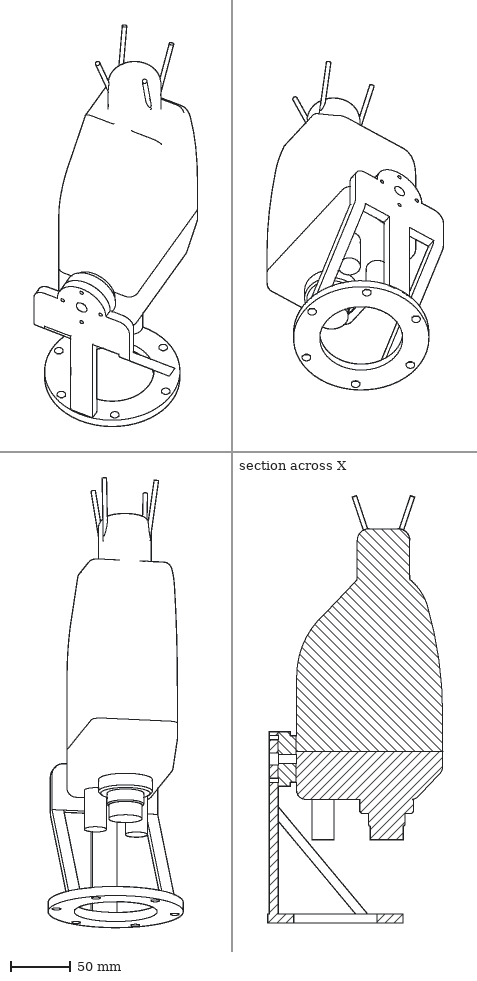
import cadquery as cq
import math


TOTAL_DEPTH = 147.5
TOTAL_HEIGHT = 360.0

BASE_DIAMETER = 114.0
BASE_RADIUS = BASE_DIAMETER / 2
BASE_BORE_RADIUS = 35.0
BASE_BOLT_CIRCLE_RADIUS = 50.8
BASE_BOLT_RADIUS = 3.5
BASE_BOLT_COUNT = 6

SHEET = 8.0
PLATE_BACK_Y = -48.0
PLATE_WIDTH = 90.7
PLATE_BOTTOM_Z = 98.0
PLATE_CORNER_RADIUS = 10.0
STEM_WIDTH = 21.0
LEG_WIDTH = 10.0
LEG_ANGLE = 50.2
PLATE_FRONT_Y = PLATE_BACK_Y - SHEET

PIVOT_Z = 138.3
PIVOT_RADIUS = 23.0
PIVOT_BORE_RADIUS = 5.0
SCREW_CIRCLE_RADIUS = 18.0
SCREW_RADIUS = 1.62
SCREW_COUNT = 4
HUB_DISC_LENGTH = 10.0
HUB_NECK_RADIUS = 19.8
HUB_BORE_RADIUS = 3.5

HOUSING_WIDTH = 74.0
HOUSING_FILLET = 8.0
FRONT_Y = -32.8
BACK_Y = TOTAL_DEPTH - BASE_RADIUS
BOTTOM_Z = 104.0
SEAM_Z = 144.8
TOP_Z = 289.5
FRONT_ARC_START_Z = 208.0
FRONT_ARC_END = (-8.5, 261.0)
BACK_ARC_START_Z = 176.0
BACK_ARC_END = (77.8, 267.2)
TOP_FRONT_Y = 18.5
TOP_BACK_Y = 62.5
BOTTOM_BEVEL_Y = 23.0
BOTTOM_BEVEL_Z = 24.5

HEAD_RADIUS = 22.5
HEAD_TOP_Z = 332.5
HEAD_TOP_FILLET = 10.0
HEAD_FOOT_FILLET = 2.0
HEAD_ROOT_DEPTH = 7.2
HEAD_Y = (TOP_FRONT_Y + TOP_BACK_Y) / 2

ANTENNA_RADIUS = 1.98
ANTENNA_FOOT_OFFSET = (18.0, 7.5)
ANTENNA_TIP_OFFSET = (22.5, 24.5)
ANTENNA_RISE = 50.5

CONNECTOR_Y = 43.2
CONNECTOR_END_Z = 70.2
COLLAR_RADIUS = 22.7
COLLAR_END_Z = 92.2
COLLAR_CHAMFER = 1.8
SLEEVE_RADIUS = 15.5
SLEEVE_END_Z = 81.7
SLEEVE_CHAMFER = 1.0
SPIGOT_RADIUS = 14.0
PORT_RADIUS = 9.5
PORT_CENTERS = [(-19.8, -10.5), (17.5, 1.5)]


def post(x, y, radius, z_low, z_high):
    """Upright cylinder between two heights."""
    return cq.Workplane("XY", origin=(x, y, z_low)).circle(radius).extrude(z_high - z_low)


def pivot_cylinder(radius, y_front, y_back):
    """Cylinder on the pivot axis, which runs along Y."""
    return cq.Workplane("XZ", origin=(0, y_back, PIVOT_Z)).circle(radius).extrude(y_back - y_front)


def extrude_across(profile, width, x_center=0):
    """Extrude a YZ outline along X, centred on x_center."""
    return profile.extrude(width / 2, both=True).translate((x_center, 0, 0))


def make_base_ring():
    ring = cq.Workplane("XY").circle(BASE_RADIUS).circle(BASE_BORE_RADIUS).extrude(SHEET)
    bolts = (
        cq.Workplane("XY")
        .polarArray(BASE_BOLT_CIRCLE_RADIUS, 0, 360, BASE_BOLT_COUNT)
        .circle(BASE_BOLT_RADIUS)
        .extrude(SHEET)
    )
    return ring.cut(bolts)


def make_plate():
    plate_height = PIVOT_Z - PLATE_BOTTOM_Z
    plate = (
        cq.Workplane("XY", origin=(0, PLATE_BACK_Y - SHEET / 2, PLATE_BOTTOM_Z))
        .box(PLATE_WIDTH, SHEET, plate_height, centered=(True, True, False))
        .edges("|Y and >Z")
        .fillet(PLATE_CORNER_RADIUS)
    )
    stem_height = PLATE_BOTTOM_Z - SHEET
    stem = cq.Workplane("XY", origin=(0, PLATE_BACK_Y - SHEET / 2, SHEET)).box(
        STEM_WIDTH, SHEET, stem_height, centered=(True, True, False)
    )
    ear = pivot_cylinder(PIVOT_RADIUS, PLATE_FRONT_Y, PLATE_BACK_Y)
    bore = pivot_cylinder(PIVOT_BORE_RADIUS, PLATE_FRONT_Y, PLATE_BACK_Y)
    screws = (
        cq.Workplane("XZ", origin=(0, PLATE_BACK_Y, PIVOT_Z))
        .polarArray(SCREW_CIRCLE_RADIUS, 0, 360, SCREW_COUNT)
        .circle(SCREW_RADIUS)
        .extrude(SHEET)
    )
    return plate.union(stem).union(ear).cut(bore).cut(screws)


def make_leg(x_center):
    """Strip bent back from the plate's lower edge and running down to the base ring."""
    slope = math.radians(LEG_ANGLE)
    drop = PLATE_BOTTOM_Z - SHEET
    foot_back_y = PLATE_BACK_Y + drop / math.tan(slope)
    foot_front_y = foot_back_y - SHEET / math.sin(slope)

    def bend_point(angle):
        return (PLATE_BACK_Y - SHEET * math.cos(angle), PLATE_BOTTOM_Z - SHEET * math.sin(angle))

    bend_angle = math.pi / 2 - slope
    profile = (
        cq.Workplane("YZ")
        .moveTo(PLATE_BACK_Y, PLATE_BOTTOM_Z)
        .lineTo(PLATE_FRONT_Y, PLATE_BOTTOM_Z)
        .threePointArc(bend_point(bend_angle / 2), bend_point(bend_angle))
        .lineTo(foot_front_y, SHEET)
        .lineTo(foot_back_y, SHEET)
        .close()
    )
    return extrude_across(profile, LEG_WIDTH, x_center)


def make_bracket():
    bracket = make_base_ring().union(make_plate())
    for side in (-1, 1):
        bracket = bracket.union(make_leg(side * (PLATE_WIDTH - LEG_WIDTH) / 2))
    return bracket


def make_hub():
    disc_back_y = PLATE_BACK_Y + HUB_DISC_LENGTH
    disc = pivot_cylinder(PIVOT_RADIUS, PLATE_BACK_Y, disc_back_y)
    neck = pivot_cylinder(HUB_NECK_RADIUS, disc_back_y, FRONT_Y)
    bore = pivot_cylinder(HUB_BORE_RADIUS, PLATE_BACK_Y, FRONT_Y)
    return disc.union(neck).cut(bore)


def make_antenna(x_side, y_side):
    """Leaning rod whose foot is buried in the head and whose rim reaches the total height."""
    foot_x, foot_y = ANTENNA_FOOT_OFFSET
    tip_x, tip_y = ANTENNA_TIP_OFFSET
    lean = math.atan2(math.hypot(tip_x - foot_x, tip_y - foot_y), ANTENNA_RISE)
    tip_z = TOTAL_HEIGHT - ANTENNA_RADIUS * math.sin(lean)
    foot = cq.Vector(x_side * foot_x, HEAD_Y + y_side * foot_y, tip_z - ANTENNA_RISE)
    tip = cq.Vector(x_side * tip_x, HEAD_Y + y_side * tip_y, tip_z)
    axis = tip - foot
    return cq.Workplane(cq.Plane(foot, normal=axis)).circle(ANTENNA_RADIUS).extrude(axis.Length)


def front_arc_middle():
    """Middle of the arc that leaves the front wall tangentially and ends at FRONT_ARC_END."""
    end_y, end_z = FRONT_ARC_END
    depth = end_y - FRONT_Y
    rise = end_z - FRONT_ARC_START_Z
    radius = (depth**2 + rise**2) / (2 * depth)
    half_turn = math.atan2(depth, rise)
    return (FRONT_Y + radius * (1 - math.cos(half_turn)), FRONT_ARC_START_Z + radius * math.sin(half_turn))


def make_upper_housing(antennas):
    profile = (
        cq.Workplane("YZ")
        .moveTo(FRONT_Y, SEAM_Z)
        .lineTo(BACK_Y, SEAM_Z)
        .lineTo(BACK_Y, BACK_ARC_START_Z)
        .tangentArcPoint(BACK_ARC_END, relative=False)
        .tangentArcPoint((TOP_BACK_Y, TOP_Z), relative=False)
        .lineTo(TOP_FRONT_Y, TOP_Z)
        .lineTo(*FRONT_ARC_END)
        .threePointArc(front_arc_middle(), (FRONT_Y, FRONT_ARC_START_Z))
        .close()
    )
    shell = extrude_across(profile, HOUSING_WIDTH)
    shell = shell.faces("<X or >X").edges("not <Z").fillet(HOUSING_FILLET)
    head = post(0, HEAD_Y, HEAD_RADIUS, TOP_Z - HEAD_ROOT_DEPTH, HEAD_TOP_Z)
    head = head.faces(">Z").edges().fillet(HEAD_TOP_FILLET)
    foot_zone = cq.selectors.BoxSelector(
        (-HEAD_RADIUS, HEAD_Y - HEAD_RADIUS, TOP_Z - HEAD_ROOT_DEPTH),
        (HEAD_RADIUS, HEAD_Y + HEAD_RADIUS, TOP_Z + HEAD_FOOT_FILLET),
        boundingbox=False,
    )
    housing = shell.union(head)
    housing = housing.edges(foot_zone).edges("not %LINE").fillet(HEAD_FOOT_FILLET)
    for antenna in antennas:
        housing = housing.cut(antenna)
    return housing


def make_lower_housing():
    profile = (
        cq.Workplane("YZ")
        .moveTo(FRONT_Y, SEAM_Z)
        .lineTo(FRONT_Y, BOTTOM_Z)
        .lineTo(BACK_Y - BOTTOM_BEVEL_Y, BOTTOM_Z)
        .lineTo(BACK_Y, BOTTOM_Z + BOTTOM_BEVEL_Z)
        .lineTo(BACK_Y, SEAM_Z)
        .close()
    )
    shell = extrude_across(profile, HOUSING_WIDTH).edges("not >Z").fillet(HOUSING_FILLET)
    collar = post(0, CONNECTOR_Y, COLLAR_RADIUS, COLLAR_END_Z, BOTTOM_Z).faces("<Z").chamfer(COLLAR_CHAMFER)
    sleeve = post(0, CONNECTOR_Y, SLEEVE_RADIUS, SLEEVE_END_Z, BOTTOM_Z).faces("<Z").chamfer(SLEEVE_CHAMFER)
    spigot = post(0, CONNECTOR_Y, SPIGOT_RADIUS, CONNECTOR_END_Z, BOTTOM_Z)
    housing = shell.union(collar).union(sleeve).union(spigot)
    for x, y in PORT_CENTERS:
        housing = housing.union(post(x, y, PORT_RADIUS, CONNECTOR_END_Z, BOTTOM_Z))
    return housing


bracket = make_bracket()
hub = make_hub()
lower_housing = make_lower_housing()
antennas = [make_antenna(x_side, y_side) for x_side in (-1, 1) for y_side in (-1, 1)]
upper_housing = make_upper_housing(antennas)

result = cq.Compound.makeCompound(
    [
        bracket.val(),
        hub.val(),
        lower_housing.val(),
        upper_housing.val(),
        *[antenna.val() for antenna in antennas],
    ]
)